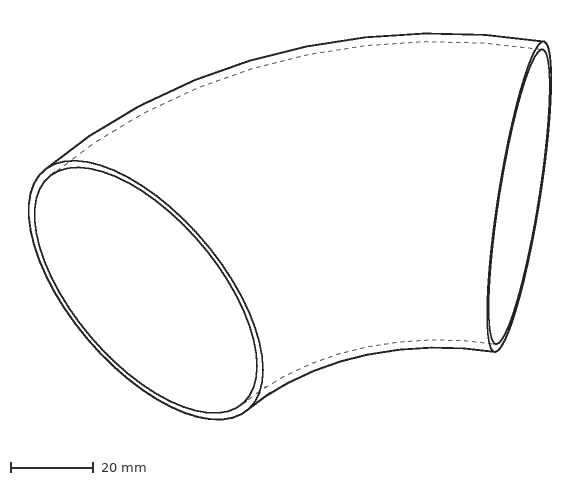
import cadquery as cq
import math

overall_length = 115.2
outer_diameter = 76.0
wall_thickness = 2.0
bend_angle = 60.0

outer_radius = outer_diameter / 2
inner_radius = outer_radius - wall_thickness

bend_outer_radius = overall_length / math.sin(math.radians(bend_angle))
bend_radius = bend_outer_radius - outer_radius


def make_elbow():
    """Revolve the pipe ring about a Z axis on the +X side, bending from +Y toward +X."""
    ring = cq.Workplane("XZ").circle(outer_radius).circle(inner_radius)
    axis_start = (bend_radius, 0)
    axis_end = (bend_radius, -1)
    return ring.revolve(bend_angle, axis_start, axis_end)


result = make_elbow()